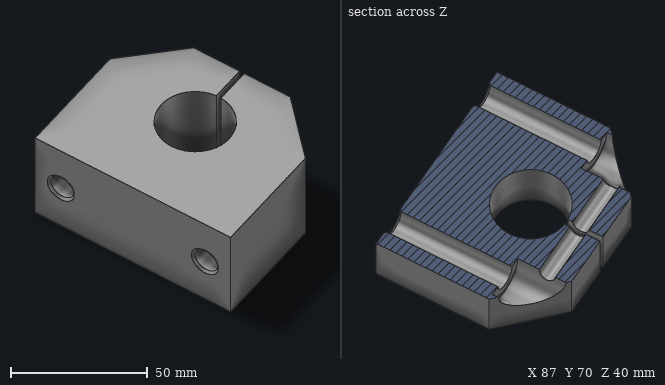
import cadquery as cq

width = 87.0
depth = 70.0
height = 40.0
corner_cut = 22.0

bore_diameter = 30.0
bore_to_front = 40.0
slot_width = 2.0

mount_spacing = 64.0
mount_diameter = 10.1
mount_entry_chamfer = 1.0
head_diameter = 18.0

clamp_diameter = 6.6
clamp_to_rear = 9.5

front_y = -bore_to_front
rear_y = front_y + depth
middle_z = height / 2
head_floor_y = rear_y - corner_cut


def make_block():
    """Rectangular block with both rear vertical corners cut off."""
    block = cq.Workplane("XY").box(width, depth, height, centered=(True, False, False))
    return block.translate((0, front_y, 0)).edges("|Z and >Y").chamfer(corner_cut)


def make_bore():
    """Shaft bore joined to the slot that runs out through the rear face."""
    bore = cq.Workplane("XY").circle(bore_diameter / 2).extrude(height)
    slot = cq.Workplane("XY").box(slot_width, rear_y, height, centered=(True, False, False))
    return bore.union(slot)


def make_mount_hole(x):
    """Through hole with a chamfered front entry and a bolt head recess at the rear."""
    radius = mount_diameter / 2
    profile = [
        (0, front_y),
        (radius + mount_entry_chamfer, front_y),
        (radius, front_y + mount_entry_chamfer),
        (radius, head_floor_y),
        (head_diameter / 2, head_floor_y),
        (head_diameter / 2, rear_y),
        (0, rear_y),
    ]
    hole = cq.Workplane("XY").polyline(profile).close().revolve(360, (0, 0, 0), (0, 1, 0))
    return hole.translate((x, 0, middle_z))


def make_clamp_hole():
    """Clamp screw hole through the full width, crossing the slot."""
    hole = cq.Workplane("YZ").center(rear_y - clamp_to_rear, middle_z)
    return hole.circle(clamp_diameter / 2).extrude(width / 2, both=True)


result = make_block().cut(make_bore())
for side in (-1, 1):
    result = result.cut(make_mount_hole(side * mount_spacing / 2))
result = result.cut(make_clamp_hole())